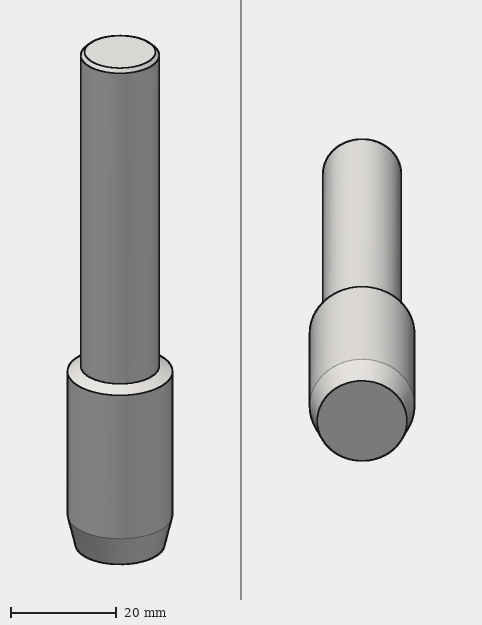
import cadquery as cq

total_height = 105.0

base_radius = 10.0
base_height = 38.0
nose_radius = 8.5
nose_height = 6.3
shoulder_height = 1.2

pin_radius = 7.5
pin_chamfer = 0.7
pin_height = total_height - base_height


def make_base():
    """Turned body whose shoulder slopes up to the foot of the pin."""
    return (
        cq.Workplane("XZ")
        .moveTo(0, 0)
        .lineTo(nose_radius, 0)
        .lineTo(base_radius, nose_height)
        .lineTo(base_radius, base_height - shoulder_height)
        .lineTo(pin_radius, base_height)
        .lineTo(0, base_height)
        .close()
        .revolve(360, (0, 0, 0), (0, 1, 0))
    )


def make_pin():
    """Plain cylinder with a chamfered top edge."""
    return (
        cq.Workplane("XY")
        .workplane(offset=base_height)
        .circle(pin_radius)
        .extrude(pin_height)
        .faces(">Z")
        .chamfer(pin_chamfer)
    )


base = make_base()
pin = make_pin()

result = cq.Compound.makeCompound([base.val(), pin.val()])